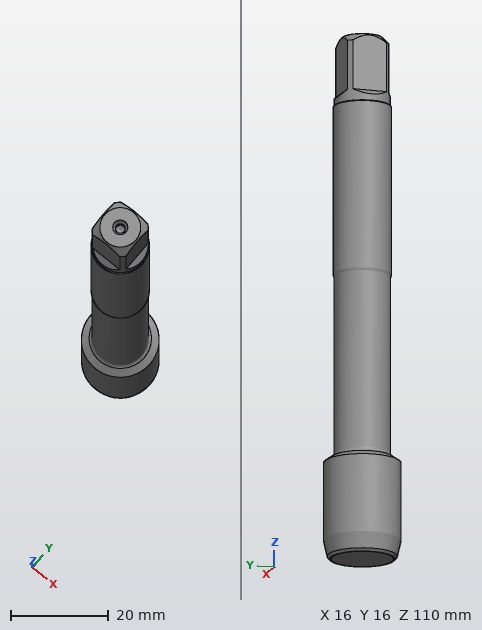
import cadquery as cq
import math

total_length = 110.0

head_diameter = 16.0
head_top = 20.2
core_diameter = 12.8
core_top = 21.3
lead_length = 3.8
lead_diameter = 14.4
tip_chamfer = 0.5

neck_diameter = 11.7
neck_bottom = 22.2
shank_diameter = 12.0
shank_bottom = 60.1
shank_top = 95.6
shank_bevel_length = 0.5
shank_top_chamfer = 0.2
collar_diameter = 11.5

square_width = 9.0
square_bottom = 98.0
ledge_drop = 1.1
top_diameter = 8.4
top_bevel_length = 1.6

centre_hole_diameter = 2.0
centre_hole_depth = 2.0
centre_mouth_diameter = 3.1
centre_mouth_angle = 60.0
centre_point_angle = 120.0


def turned_solid(profile):
    """Revolve a closed (radius, height) profile around the Z axis."""
    return cq.Workplane("XZ").polyline(profile).close().revolve(360, (0, 0), (0, 1))


def flat_cutter():
    """Material removed beside one flat of the square, ending in a sloping ledge."""
    flat_distance = square_width / 2
    collar_radius = collar_diameter / 2
    outer = collar_diameter
    ledge_slope = ledge_drop / (collar_radius - flat_distance)
    outer_ledge_height = square_bottom - ledge_slope * (outer - flat_distance)
    return (
        cq.Workplane("XZ")
        .polyline([
            (flat_distance, square_bottom),
            (outer, outer_ledge_height),
            (outer, total_length),
            (flat_distance, total_length),
        ])
        .close()
        .extrude(collar_radius, both=True)
    )


def centre_hole():
    """Countersunk hole with a conical bottom."""
    radius = centre_hole_diameter / 2
    floor = total_length - centre_hole_depth
    point_depth = radius / math.tan(math.radians(centre_point_angle / 2))
    mouth_radius = centre_mouth_diameter / 2
    mouth_depth = (mouth_radius - radius) / math.tan(math.radians(centre_mouth_angle / 2))
    return turned_solid([
        (0, floor - point_depth),
        (radius, floor),
        (radius, total_length - mouth_depth),
        (mouth_radius, total_length),
        (0, total_length),
    ])


def turned_blank():
    """Core, neck, shank and collar before milling, with a concave flare below the neck."""
    neck_radius = neck_diameter / 2
    core_radius = core_diameter / 2
    flare_width = core_radius - neck_radius
    flare_height = neck_bottom - core_top
    flare_radius = (flare_width ** 2 + flare_height ** 2) / (2 * flare_width)
    half_angle = math.asin(flare_height / flare_radius) / 2
    flare_middle = (
        neck_radius + flare_radius * (1 - math.cos(half_angle)),
        neck_bottom - flare_radius * math.sin(half_angle),
    )
    return (
        cq.Workplane("XZ")
        .lineTo(core_radius, 0)
        .lineTo(core_radius, core_top)
        .threePointArc(flare_middle, (neck_radius, neck_bottom))
        .lineTo(neck_radius, shank_bottom - shank_bevel_length)
        .lineTo(shank_diameter / 2, shank_bottom)
        .lineTo(shank_diameter / 2, shank_top - shank_top_chamfer)
        .lineTo(collar_diameter / 2, shank_top)
        .lineTo(collar_diameter / 2, total_length - top_bevel_length)
        .lineTo(top_diameter / 2, total_length)
        .lineTo(0, total_length)
        .close()
        .revolve(360, (0, 0), (0, 1))
    )


def make_shank():
    """Turned shank with four flats milled into its upper end and a centre hole."""
    shank = turned_blank()
    cutter = flat_cutter()
    for side in range(4):
        shank = shank.cut(cutter.rotate((0, 0, 0), (0, 0, 1), 90 * side))
    return shank.cut(centre_hole())


def make_threaded_head():
    """Sleeve with a conical shoulder on top and a lead taper at its lower end."""
    return turned_solid([
        (core_diameter / 2, 0),
        (lead_diameter / 2 - tip_chamfer, 0),
        (lead_diameter / 2, tip_chamfer),
        (head_diameter / 2, lead_length),
        (head_diameter / 2, head_top),
        (core_diameter / 2, core_top),
    ])


shank = make_shank()
threaded_head = make_threaded_head()

result = cq.Compound.makeCompound([shank.val(), threaded_head.val()])